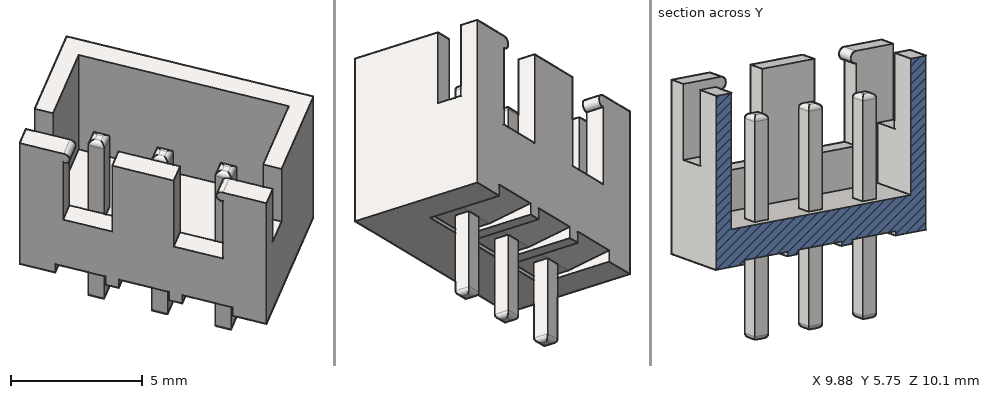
import cadquery as cq

body_width = 9.88
body_depth = 5.75
body_height = 6.87
overall_height = 10.08
side_wall = 0.74
end_wall = 0.77
floor_height = 1.5

window_inner_x = 1.23
window_outer_x = 3.2
window_depth = 3.75
bump_radius = 0.25
bump_reach = 0.26

slot_width = 1.08
slot_depth = 2.99

pin_count = 3
pin_pitch = 2.54
pin_row_offset = 0.04
pin_y = 2.25
pin_size = 0.65
pin_tip_radius = 0.2
pin_top_recess = 1.21
pin_bottom_z = body_height - overall_height
pin_top_z = body_height - pin_top_recess

notch_width = 2.02
notch_front_height = 0.47
notch_rear_height = 0.17
notch_slope_end_y = pin_y - pin_size / 2
notch_depth = pin_y + notch_width / 2

pin_xs = [pin_row_offset + (i - (pin_count - 1) / 2) * pin_pitch for i in range(pin_count)]


def block(x_min, x_max, y_min, y_max, z_min, z_max):
    """Box given by its limits along each axis."""
    return cq.Workplane("XY").box(
        x_max - x_min, y_max - y_min, z_max - z_min, centered=False
    ).translate((x_min, y_min, z_min))


def housing():
    half_width = body_width / 2
    shell = block(-half_width, half_width, 0, body_depth, 0, body_height)
    cavity = block(
        side_wall - half_width, half_width - side_wall,
        end_wall, body_depth - end_wall,
        floor_height, body_height,
    )
    side_slots = block(
        -half_width, half_width,
        end_wall, end_wall + slot_width,
        body_height - slot_depth, body_height,
    )
    return shell.cut(cavity).cut(side_slots)


def window():
    """Window to the right of the tongue, with a rounded latch bump at its top outer corner."""
    bump_tip_x = window_outer_x - bump_reach
    bump_center_x = bump_tip_x + bump_radius
    bump_center_z = body_height - bump_radius
    bump_bottom_z = bump_center_z - bump_radius
    sill_z = body_height - window_depth
    return (
        cq.Workplane("XZ")
        .moveTo(window_inner_x, body_height)
        .lineTo(bump_center_x, body_height)
        .threePointArc((bump_tip_x, bump_center_z), (bump_center_x, bump_bottom_z))
        .lineTo(window_outer_x, bump_bottom_z)
        .lineTo(window_outer_x, sill_z)
        .lineTo(window_inner_x, sill_z)
        .close()
        .extrude(-end_wall)
    )


def notch(x):
    return (
        cq.Workplane("YZ")
        .polyline([
            (0, 0),
            (notch_depth, 0),
            (notch_depth, notch_rear_height),
            (notch_slope_end_y, notch_rear_height),
            (0, notch_front_height),
        ])
        .close()
        .extrude(notch_width)
        .translate((x - notch_width / 2, 0, 0))
    )


def pin(x):
    half_size = pin_size / 2
    bar = block(
        x - half_size, x + half_size,
        pin_y - half_size, pin_y + half_size,
        pin_bottom_z, pin_top_z,
    )
    return bar.faces("<Z or >Z").edges().fillet(pin_tip_radius)


right_window = window()
result = housing().cut(right_window).cut(right_window.mirror("YZ"))
for pin_x in pin_xs:
    result = result.cut(notch(pin_x)).union(pin(pin_x))